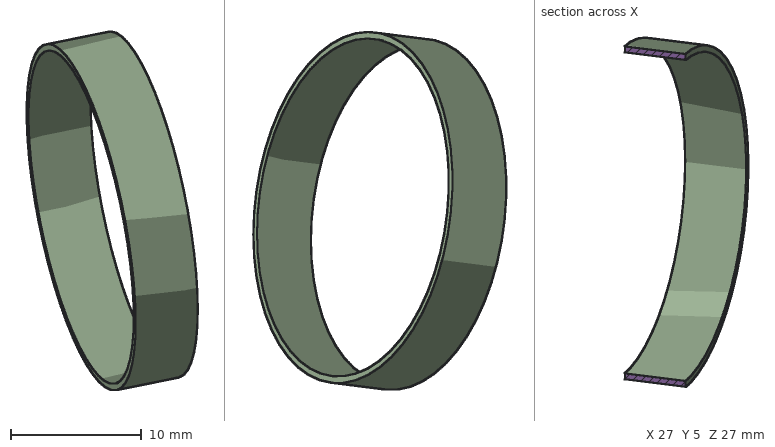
import cadquery as cq

outer_diameter = 27.0
wall_thickness = 0.5
ring_width = 5.0

outer_radius = outer_diameter / 2
inner_radius = outer_radius - wall_thickness

result = (
    cq.Workplane("XZ")
    .circle(outer_radius)
    .circle(inner_radius)
    .extrude(ring_width)
)